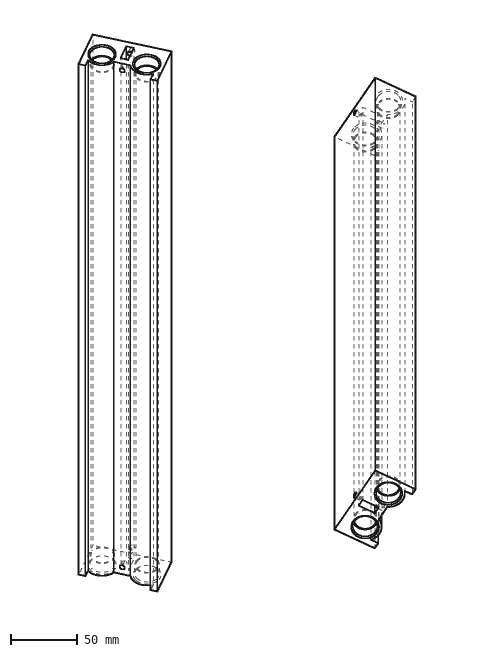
import cadquery as cq
import math

width = 62.5
depth = 35.0
length = 518.0
front_y = -depth / 2
back_y = depth / 2

bore_x = 17.75
bore_y = -1.5
bore_diameter = 17.0
counterbore_diameter = 18.6
counterbore_depth = 10.0
mouth_diameter = 21.0
mouth_depth = 1.0

foot_width = 5.5
tube_radius = 12.5
web_y = -7.0

passage_width = 6.0
passage_front_y = -1.5
passage_back_y = 12.5

mounting_diameter = 4.0
mounting_end_distance = 7.0


def profile_body():
    """Extrude the outer section with the round bore walls bulging into the front channel."""
    half_width = width / 2
    channel_x = half_width - foot_width
    foot_joint_y = bore_y - math.sqrt(tube_radius**2 - (channel_x - bore_x) ** 2)
    web_x = bore_x - math.sqrt(tube_radius**2 - (web_y - bore_y) ** 2)
    tube_bottom_y = bore_y - tube_radius
    return (
        cq.Workplane("XY")
        .moveTo(-half_width, back_y)
        .lineTo(half_width, back_y)
        .lineTo(half_width, front_y)
        .lineTo(channel_x, front_y)
        .lineTo(channel_x, foot_joint_y)
        .threePointArc((bore_x, tube_bottom_y), (web_x, web_y))
        .lineTo(-web_x, web_y)
        .threePointArc((-bore_x, tube_bottom_y), (-channel_x, foot_joint_y))
        .lineTo(-channel_x, front_y)
        .lineTo(-half_width, front_y)
        .close()
        .extrude(length)
    )


def bore_cylinders(diameter, start_z, height):
    """Matching cylinders on both bore axes."""
    return (
        cq.Workplane("XY", origin=(0, bore_y, start_z))
        .pushPoints([(-bore_x, 0), (bore_x, 0)])
        .circle(diameter / 2)
        .extrude(height)
    )


def passage():
    """Rectangular passage along the full length."""
    passage_depth = passage_back_y - passage_front_y
    passage_middle_y = (passage_back_y + passage_front_y) / 2
    return (
        cq.Workplane("XY", origin=(0, passage_middle_y, 0))
        .rect(passage_width, passage_depth)
        .extrude(length)
    )


def mounting_holes():
    """Front-to-back holes through the web, passage and back wall."""
    hole_heights = (mounting_end_distance, length - mounting_end_distance)
    return (
        cq.Workplane("XZ", origin=(0, back_y, 0))
        .pushPoints([(0, z) for z in hole_heights])
        .circle(mounting_diameter / 2)
        .extrude(depth)
    )


def cut_mouth_cones(body, end_z, inward):
    """Cut both conical bore mouths at one end; inward is the Z direction (+1 or -1) into the part."""
    for axis_x in (-bore_x, bore_x):
        cone = cq.Solid.makeCone(
            mouth_diameter / 2,
            counterbore_diameter / 2,
            mouth_depth,
            pnt=cq.Vector(axis_x, bore_y, end_z),
            dir=cq.Vector(0, 0, inward),
        )
        body = body.cut(cq.Workplane(cone))
    return body


result = profile_body()
result = result.cut(bore_cylinders(bore_diameter, 0, length))
for counterbore_start in (0, length - counterbore_depth):
    result = result.cut(bore_cylinders(counterbore_diameter, counterbore_start, counterbore_depth))
for end_z, inward in ((0, 1), (length, -1)):
    result = cut_mouth_cones(result, end_z, inward)
result = result.cut(passage())
result = result.cut(mounting_holes())